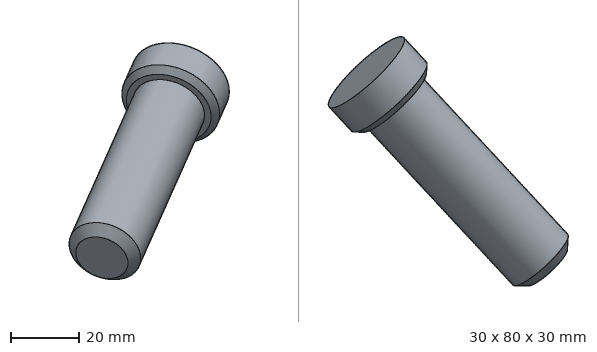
import cadquery as cq

total_length = 80.0
head_diameter = 30.0
head_length = 12.0
head_chamfer = 2.0
shank_diameter = 22.0
tip_face_diameter = 16.0

head_radius = head_diameter / 2
shank_radius = shank_diameter / 2
tip_face_radius = tip_face_diameter / 2
tip_chamfer = shank_radius - tip_face_radius
shoulder_y = total_length - head_length

half_section = (
    cq.Workplane("XY")
    .lineTo(tip_face_radius, 0)
    .lineTo(shank_radius, tip_chamfer)
    .lineTo(shank_radius, shoulder_y)
    .lineTo(head_radius - head_chamfer, shoulder_y)
    .lineTo(head_radius, shoulder_y + head_chamfer)
    .lineTo(head_radius, total_length)
    .lineTo(0, total_length)
    .close()
)

result = half_section.revolve(360, (0, 0, 0), (0, 1, 0))